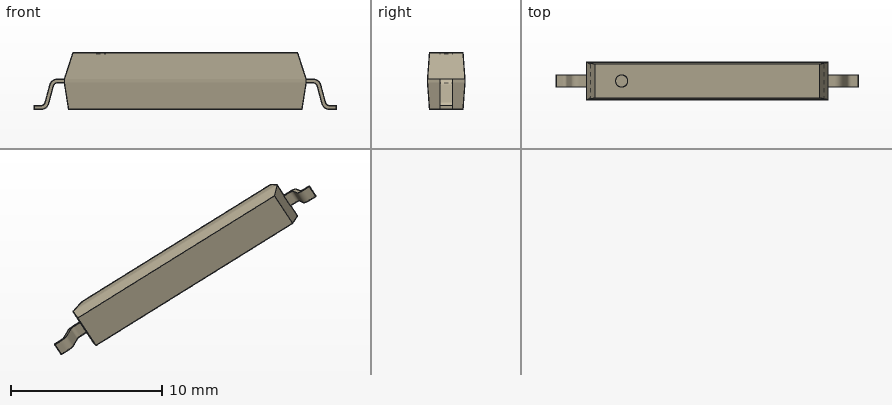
import cadquery as cq
import math

total_height = 3.76
band_length = 16.0
band_width = 2.49
top_length = 14.86
bottom_length = 15.44
end_face_width = 2.23

lead_span = 19.99
lead_width = 0.8
lead_thickness = 0.254
inner_bend_radius = 0.28
outer_bend_radius = inner_bend_radius + lead_thickness
leg_lean = math.radians(15)
foot_length = 0.45
lead_top = (total_height + lead_thickness) / 2

band_top = lead_top
band_bottom = band_top - lead_thickness

marker_diameter = 0.8
marker_depth = 0.1
marker_x = -5.66


def make_taper(start_height, end_height, end_length):
    """Half of the housing, narrowing from the band to its end face."""
    return (
        cq.Workplane("XY", origin=(0, 0, start_height))
        .rect(band_length, band_width)
        .workplane(offset=end_height - start_height)
        .rect(end_length, end_face_width)
        .loft(ruled=True)
    )


def make_marker():
    return (
        cq.Workplane("XY", origin=(marker_x, 0, total_height - marker_depth))
        .circle(marker_diameter / 2)
        .extrude(marker_depth)
    )


def make_housing():
    band = (
        cq.Workplane("XY", origin=(0, 0, band_bottom))
        .rect(band_length, band_width)
        .extrude(lead_thickness)
    )
    upper_half = make_taper(band_top, total_height, top_length)
    lower_half = make_taper(band_bottom, 0, bottom_length)
    return band.union(upper_half).union(lower_half).cut(make_marker())


def arc_point(center, radius, angle):
    """Point on a bend, with the angle measured from +X towards +Z."""
    return (center[0] + radius * math.cos(angle), center[1] + radius * math.sin(angle))


def make_lead(side):
    """Bent strip from the foot tip to the housing end; side is -1 for -X, +1 for +X."""
    tip_x = -lead_span / 2
    housing_x = -band_length / 2

    lower_center = (tip_x + foot_length, outer_bend_radius)
    upper_center_z = lead_top - outer_bend_radius
    bend_radii = inner_bend_radius + outer_bend_radius
    center_rise = upper_center_z - lower_center[1]
    center_run = bend_radii / math.cos(leg_lean) + center_rise * math.tan(leg_lean)
    upper_center = (lower_center[0] + center_run, upper_center_z)

    lower_flat = -math.pi / 2
    lower_leg = -leg_lean
    lower_middle = (lower_flat + lower_leg) / 2
    upper_flat = math.pi / 2
    upper_leg = math.pi - leg_lean
    upper_middle = (upper_flat + upper_leg) / 2

    lead = (
        cq.Workplane("XZ")
        .moveTo(tip_x, 0)
        .lineTo(*arc_point(lower_center, outer_bend_radius, lower_flat))
        .threePointArc(
            arc_point(lower_center, outer_bend_radius, lower_middle),
            arc_point(lower_center, outer_bend_radius, lower_leg),
        )
        .lineTo(*arc_point(upper_center, inner_bend_radius, upper_leg))
        .threePointArc(
            arc_point(upper_center, inner_bend_radius, upper_middle),
            arc_point(upper_center, inner_bend_radius, upper_flat),
        )
        .lineTo(housing_x, band_bottom)
        .lineTo(housing_x, lead_top)
        .lineTo(*arc_point(upper_center, outer_bend_radius, upper_flat))
        .threePointArc(
            arc_point(upper_center, outer_bend_radius, upper_middle),
            arc_point(upper_center, outer_bend_radius, upper_leg),
        )
        .lineTo(*arc_point(lower_center, inner_bend_radius, lower_leg))
        .threePointArc(
            arc_point(lower_center, inner_bend_radius, lower_middle),
            arc_point(lower_center, inner_bend_radius, lower_flat),
        )
        .lineTo(tip_x, lead_thickness)
        .close()
        .extrude(lead_width / 2, both=True)
    )
    return lead.mirror("YZ") if side > 0 else lead


housing = make_housing()
marker = make_marker()
leads = [make_lead(side) for side in (-1, 1)]

result = cq.Compound.makeCompound([housing.val(), marker.val(), *[lead.val() for lead in leads]])